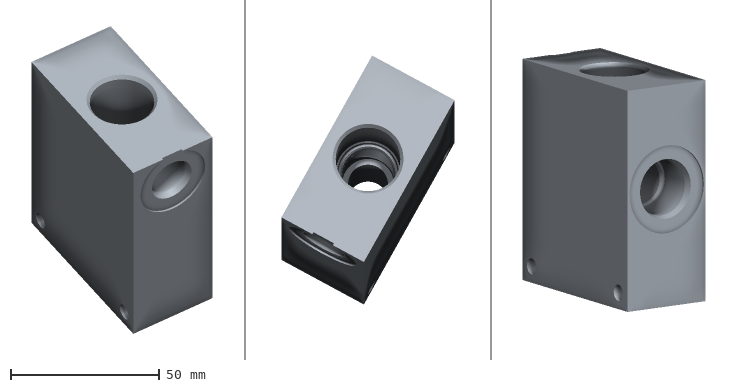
import cadquery as cq

LENGTH = 63.5
WIDTH = 31.8
HEIGHT = 76.2

MOUNT_DIAMETER = 5.6
MOUNT_INSET = 5.65

CAVITY_PROFILE = [
    (23.9, 0),
    (21.8, 1.2),
    (21.8, 25.15),
    (20.65, 25.15),
    (20.0, 26.3),
    (18.5, 26.3),
    (17.5, 27.1),
    (17.5, 31.85),
    (17.45, 31.85),
    (17.45, 45.7),
    (13.5, 45.7),
    (13.5, HEIGHT),
]

SPOTFACE_DEPTH = 0.8
CONE_END = 3.3
DRILL_CONE_LENGTH = 0.8

LEFT_PORT_HEIGHT = 40.4
LEFT_SPOTFACE = 30.25
LEFT_CONE = 20.65
LEFT_THREAD = 19.05
LEFT_TAP_DRILL = 17.45
LEFT_DRILL = 15.85
LEFT_THREAD_DEPTH = 15.25

RIGHT_PORT_HEIGHT = 63.85
RIGHT_SPOTFACE = 25.9
RIGHT_CONE = 15.85
RIGHT_THREAD = 14.25
RIGHT_TAP_DRILL = 12.9
RIGHT_DRILL = 9.9
RIGHT_THREAD_DEPTH = 16.15


def stepped_bore(profile):
    """Solid of revolution about Z, opening at Z = 0 and reaching down to the last depth."""
    rim = [(diameter / 2, -depth) for diameter, depth in profile]
    points = [(0, 0)] + rim + [(0, -profile[-1][1])]
    return cq.Workplane("XZ").polyline(points).close().revolve(360, (0, 0, 0), (0, 1, 0))


def side_port(spotface, cone, thread, tap_drill, drill, thread_depth):
    """Port cutter that opens at Z = 0 and is drilled down as far as the cavity axis."""
    return stepped_bore([
        (spotface, 0),
        (spotface, SPOTFACE_DEPTH),
        (cone, SPOTFACE_DEPTH),
        (thread, CONE_END),
        (thread, thread_depth),
        (tap_drill, thread_depth),
        (drill, thread_depth + DRILL_CONE_LENGTH),
        (drill, LENGTH / 2),
    ])


block = cq.Workplane("XY").box(LENGTH, WIDTH, HEIGHT, centered=(True, True, False))

mount_offset = LENGTH / 2 - MOUNT_INSET
mount_holes = (
    cq.Workplane("XZ", origin=(0, WIDTH / 2, 0))
    .pushPoints([(-mount_offset, MOUNT_INSET), (mount_offset, MOUNT_INSET)])
    .circle(MOUNT_DIAMETER / 2)
    .extrude(WIDTH)
)

cavity = stepped_bore(CAVITY_PROFILE).translate((0, 0, HEIGHT))

left_port = (
    side_port(LEFT_SPOTFACE, LEFT_CONE, LEFT_THREAD, LEFT_TAP_DRILL, LEFT_DRILL, LEFT_THREAD_DEPTH)
    .rotate((0, 0, 0), (0, 1, 0), -90)
    .translate((-LENGTH / 2, 0, LEFT_PORT_HEIGHT))
)

right_port = (
    side_port(RIGHT_SPOTFACE, RIGHT_CONE, RIGHT_THREAD, RIGHT_TAP_DRILL, RIGHT_DRILL, RIGHT_THREAD_DEPTH)
    .rotate((0, 0, 0), (0, 1, 0), 90)
    .translate((LENGTH / 2, 0, RIGHT_PORT_HEIGHT))
)

result = block.cut(mount_holes).cut(cavity).cut(left_port).cut(right_port)